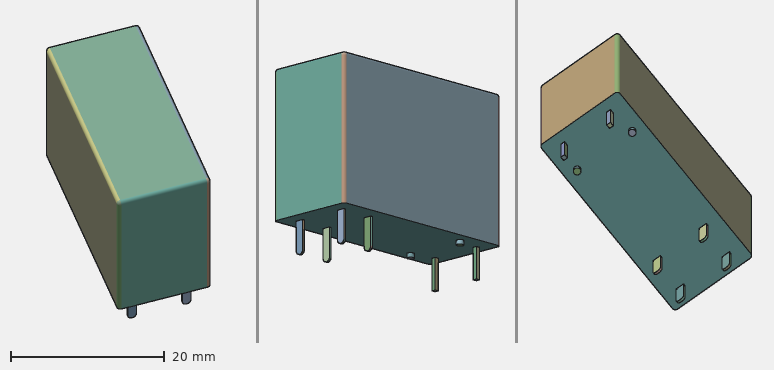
import cadquery as cq

case_length = 29.2
case_width = 12.82
case_height = 20.6
case_edge_radius = 0.5

terminal_row_spacing = 7.5

coil_pin_inset = 1.8
coil_pin_side = 0.6
coil_pin_length = 4.4

blade_thickness = 0.32
blade_width = 1.2
blade_length = 4.6
blade_pitch = 5.0
coil_to_contact = 20.18

standoff_inset = 5.65
standoff_diameter = 1.0
standoff_height = 0.6
standoff_spacing = 9.0

root_depth = 0.3

coil_pin_x = -case_length / 2 + coil_pin_inset
standoff_x = -case_length / 2 + standoff_inset
inner_blade_x = coil_pin_x + coil_to_contact
outer_blade_x = inner_blade_x + blade_pitch


def make_case():
    box = cq.Workplane("XY").box(case_length, case_width, case_height, centered=(True, True, False))
    return box.edges("|Z or >Z").fillet(case_edge_radius)


def make_coil_pin(x, y):
    root = cq.Workplane("XY", origin=(x, y, root_depth))
    return root.rect(coil_pin_side, coil_pin_side).extrude(-(coil_pin_length + root_depth))


def make_blade(x, y):
    half_width = blade_width / 2
    round_start = -blade_length + half_width
    outline = (
        cq.Workplane("YZ", origin=(x, y, 0))
        .moveTo(-half_width, root_depth)
        .lineTo(-half_width, round_start)
        .threePointArc((0, -blade_length), (half_width, round_start))
        .lineTo(half_width, root_depth)
        .close()
    )
    return outline.extrude(blade_thickness / 2, both=True)


def make_standoff(x, y):
    root = cq.Workplane("XY", origin=(x, y, root_depth))
    return root.circle(standoff_diameter / 2).extrude(-(standoff_height + root_depth))


result = make_case()
for side in (-1, 1):
    row_y = side * terminal_row_spacing / 2
    result = result.union(make_coil_pin(coil_pin_x, row_y))
    for blade_x in (inner_blade_x, outer_blade_x):
        result = result.union(make_blade(blade_x, row_y))
    result = result.union(make_standoff(standoff_x, side * standoff_spacing / 2))